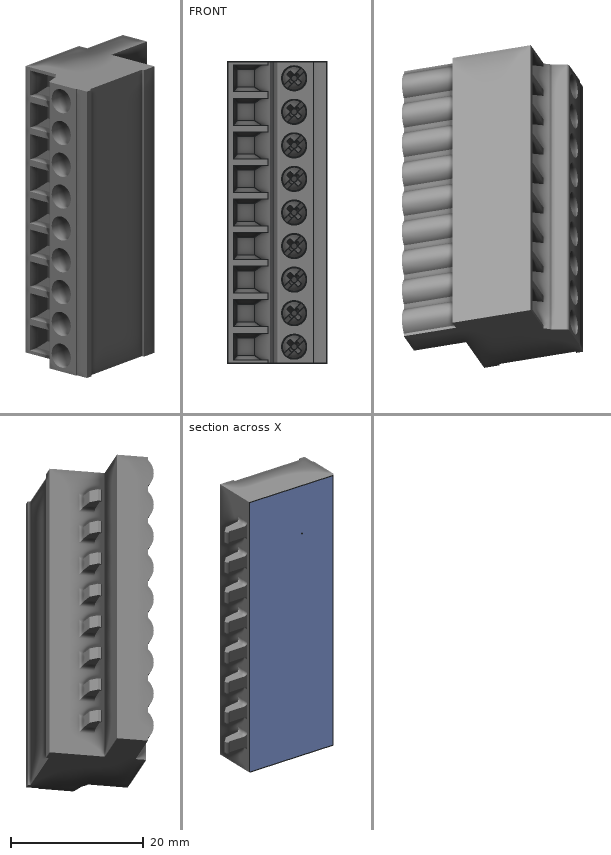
import cadquery as cq
import math

WIDTH = 15.0
DEPTH = 24.32
HEIGHT = 45.7
POLES = 9
PITCH = HEIGHT / POLES
POLE_HEIGHTS = [PITCH * (pole + 0.5) for pole in range(POLES)]
MARGIN = 0.45
SELECT_GAP = 0.05

SHOULDER_Y = 16
ENTRY_Y = 3.47
ENTRY_X = 6.13
LEDGE_START = (6.6, 2.7)
LEDGE_END = (6.85, 2.45)
SLOPE_FOOT_X = 7.6
SLOPE_FOOT_FILLET = 0.45
LIP_X = 13.0
LIP_STEP = 0.2
RECESS_X = 14.6
RECESS_START_Y = 1.3
RECESS_END_Y = 13.55

PLUG_FLAT_X = 1.65
PLUG_END_X = 6.45
BARREL_X = 0.75
BARREL_CHORD = 4.2

OPENING_LEFT_X = 0.85
OPENING_HEIGHT = 4.05
FLARE_START_Y = 5.15
FLOOR_Y = 7.0
FLOOR_LEFT_X = 1.4
FLOOR_HEIGHT = 2.65

SCREW_X = 10.05
HOLE_DIAMETER = 3.8
CROWN_Y = 4.02
DOME_HEIGHT = 0.35
DOME_DIAMETER = 3.55
RIM_SLOPE = 2
SLOT_WIDTH = 0.75
SLOT_DEPTH = 0.65
CROSS_DEPTH = 1.2
CROSS_TOP_DIAMETER = 2.75
CROSS_TIP_DIAMETER = 0.9
SLOT_ANGLE = 45

LATCH_X = 8.0
LATCH_HOOK_X = 7.73
LATCH_HOOK_BOTTOM_Y = 19.35
LATCH_HOOK_MIDDLE_Y = 19.65
LATCH_TIP_Y = 19.95
LATCH_TIP_START_X = 7.9
LATCH_TIP_END_X = 8.4
LATCH_KNEE = (9.45, 18.95)
LATCH_FOOT_X = 10.0
LATCH_WIDTH = 1.85
LATCH_FILLET = 0.55


def slope_x(y):
    """X of the upper slope, carried on into the housing, at a given Y."""
    run = (LEDGE_START[0] - ENTRY_X) / (ENTRY_Y - LEDGE_START[1])
    return ENTRY_X - run * (y - ENTRY_Y)


def make_housing():
    outline = [
        (0, ENTRY_Y),
        (ENTRY_X, ENTRY_Y),
        LEDGE_START,
        LEDGE_END,
        (SLOPE_FOOT_X, 0),
        (LIP_X, 0),
        (LIP_X, LIP_STEP),
        (WIDTH, LIP_STEP),
        (WIDTH, RECESS_START_Y),
        (RECESS_X, RECESS_START_Y),
        (RECESS_X, RECESS_END_Y),
        (WIDTH, RECESS_END_Y),
        (WIDTH, SHOULDER_Y),
        (PLUG_END_X, SHOULDER_Y),
        (PLUG_END_X, DEPTH),
        (PLUG_FLAT_X, DEPTH),
        (PLUG_FLAT_X, SHOULDER_Y),
        (0, SHOULDER_Y),
    ]
    housing = cq.Workplane("XY").polyline(outline).close().extrude(HEIGHT)
    foot_edge = cq.selectors.NearestToPointSelector((SLOPE_FOOT_X, 0, HEIGHT / 2))
    return housing.edges("|Z").edges(foot_edge).fillet(SLOPE_FOOT_FILLET)


def make_barrel(z):
    """Rounded rib along the plug, a circular segment standing on its flat."""
    half = BARREL_CHORD / 2
    return (
        cq.Workplane("XZ", origin=(0, DEPTH, 0))
        .moveTo(PLUG_FLAT_X, z - half)
        .threePointArc((BARREL_X, z), (PLUG_FLAT_X, z + half))
        .lineTo(PLUG_FLAT_X + MARGIN, z + half)
        .lineTo(PLUG_FLAT_X + MARGIN, z - half)
        .close()
        .extrude(DEPTH - SHOULDER_Y + MARGIN)
    )


def make_wire_entry(z):
    """Tapered pocket whose +X wall is the upper slope carried on to the pocket floor."""
    mouth_y = ENTRY_Y - MARGIN
    opening_centre_x = OPENING_LEFT_X + WIDTH / 2
    floor_centre_x = FLOOR_LEFT_X + WIDTH / 2
    opening = (
        cq.Workplane("XZ", origin=(opening_centre_x, mouth_y, z))
        .rect(WIDTH, OPENING_HEIGHT)
        .extrude(mouth_y - FLARE_START_Y)
    )
    flare = (
        cq.Workplane("XZ", origin=(opening_centre_x, FLARE_START_Y, z))
        .rect(WIDTH, OPENING_HEIGHT)
        .workplane(offset=FLARE_START_Y - FLOOR_Y)
        .center(floor_centre_x - opening_centre_x, 0)
        .rect(WIDTH, FLOOR_HEIGHT)
        .loft(ruled=True)
    )
    slope_limit = (
        cq.Workplane("XY")
        .polyline([
            (0, mouth_y),
            (slope_x(mouth_y), mouth_y),
            (slope_x(FLOOR_Y), FLOOR_Y),
            (0, FLOOR_Y),
        ])
        .close()
        .extrude(HEIGHT)
    )
    return opening.union(flare).intersect(slope_limit)


def make_screw_cavity():
    """Screw hole down to a domed head with a slot and a tapered cross recess, on the axis Z = 0."""
    dome_radius = DOME_DIAMETER / 2
    dome_sphere = (dome_radius**2 + DOME_HEIGHT**2) / (2 * DOME_HEIGHT)
    middle_radius = dome_radius / 2
    middle_y = CROWN_Y + dome_sphere - math.sqrt(dome_sphere**2 - middle_radius**2)
    dome_end_y = CROWN_Y + DOME_HEIGHT
    hole_end_y = CROWN_Y + CROSS_DEPTH + MARGIN
    base_y = hole_end_y + MARGIN
    base_radius = dome_radius + (base_y - dome_end_y) / RIM_SLOPE

    head = (
        cq.Workplane("XY")
        .moveTo(0, CROWN_Y)
        .threePointArc((middle_radius, middle_y), (dome_radius, dome_end_y))
        .lineTo(base_radius, base_y)
        .lineTo(0, base_y)
        .close()
        .revolve(360, (0, 0, 0), (0, 1, 0))
    )

    def groove(depth):
        bar = cq.Workplane("XY").box(2 * HOLE_DIAMETER, depth, SLOT_WIDTH, centered=(True, False, True))
        return bar.translate((0, CROWN_Y, 0))

    taper = cq.Solid.makeCone(
        CROSS_TOP_DIAMETER / 2,
        CROSS_TIP_DIAMETER / 2,
        CROSS_DEPTH,
        pnt=cq.Vector(0, CROWN_Y, 0),
        dir=cq.Vector(0, 1, 0),
    )
    cross_bar = groove(CROSS_DEPTH)
    cross = cross_bar.union(cross_bar.rotate((0, 0, 0), (0, 1, 0), 90)).intersect(cq.Workplane(taper))
    head = head.cut(groove(SLOT_DEPTH)).cut(cross).rotate((0, 0, 0), (0, 1, 0), -SLOT_ANGLE)
    hole = cq.Workplane("XZ", origin=(0, -MARGIN, 0)).circle(HOLE_DIAMETER / 2).extrude(-hole_end_y - MARGIN)
    return hole.cut(head)


def make_latch(z):
    """Hooked clip standing on the shoulder, midway between two poles."""
    return (
        cq.Workplane("XY", origin=(0, 0, z - LATCH_WIDTH / 2))
        .moveTo(LATCH_X, SHOULDER_Y)
        .lineTo(LATCH_X, LATCH_HOOK_BOTTOM_Y)
        .lineTo(LATCH_HOOK_X, LATCH_HOOK_MIDDLE_Y)
        .lineTo(LATCH_TIP_START_X, LATCH_TIP_Y)
        .lineTo(LATCH_TIP_END_X, LATCH_TIP_Y)
        .lineTo(*LATCH_KNEE)
        .lineTo(LATCH_FOOT_X, SHOULDER_Y)
        .close()
        .extrude(LATCH_WIDTH)
    )


def round_latch_feet(body):
    """Fillet every side of the latch feet but the straight -X one."""
    foot_zone = cq.selectors.BoxSelector(
        (LATCH_X + SELECT_GAP, SHOULDER_Y - SELECT_GAP, 0),
        (LATCH_FOOT_X + SELECT_GAP, SHOULDER_Y + SELECT_GAP, HEIGHT),
    )
    return body.edges(foot_zone).fillet(LATCH_FILLET)


result = make_housing()

for pole_z in POLE_HEIGHTS:
    result = result.union(make_barrel(pole_z))
for gap in range(1, POLES):
    result = result.union(make_latch(gap * PITCH))
result = round_latch_feet(result)

screw_cavity = make_screw_cavity()
for pole_z in POLE_HEIGHTS:
    result = result.cut(make_wire_entry(pole_z))
    result = result.cut(screw_cavity.translate((SCREW_X, 0, pole_z)))